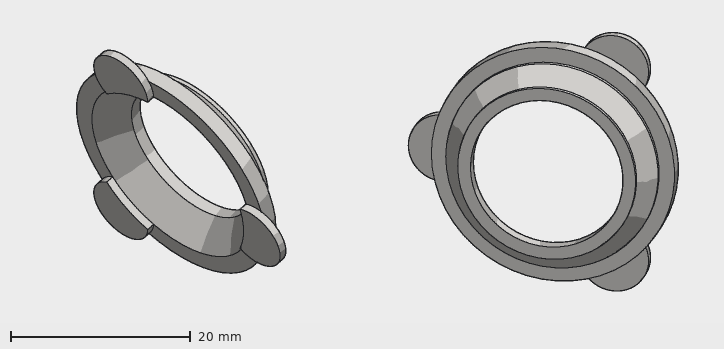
import cadquery as cq

flange_radius = 13.9
shoulder_radius = 12.15
nose_radius = 10.17
mouth_radius = 11.62
bore_radius = 8.7

tab_thickness = 1.0
flange_thickness = 1.85
shoulder_thickness = 0.5
taper_length = 2.0
nose_thickness = 0.5
bore_length = 1.48

tab_count = 3
tab_radius = 4.0
tab_center_radius = 13.0

shoulder_start = flange_thickness
taper_start = shoulder_start + shoulder_thickness
nose_start = taper_start + taper_length
nose_end = nose_start + nose_thickness
bore_start = nose_end - bore_length


def make_ring():
    """Revolve the wall section about the Y axis."""
    section = [
        (mouth_radius, 0),
        (flange_radius, 0),
        (flange_radius, shoulder_start),
        (shoulder_radius, shoulder_start),
        (shoulder_radius, taper_start),
        (nose_radius, nose_start),
        (nose_radius, nose_end),
        (bore_radius, nose_end),
        (bore_radius, bore_start),
    ]
    return cq.Workplane("XY").polyline(section).close().revolve(360, (0, 0), (0, 1))


def make_tabs():
    """Equally spaced discs, trimmed where they would cover the mouth."""
    discs = (
        cq.Workplane("XZ")
        .polarArray(tab_center_radius, 0, 360, tab_count)
        .circle(tab_radius)
        .extrude(tab_thickness)
    )
    mouth = cq.Workplane("XZ").circle(mouth_radius).extrude(tab_thickness)
    return discs.cut(mouth)


result = make_ring().union(make_tabs())